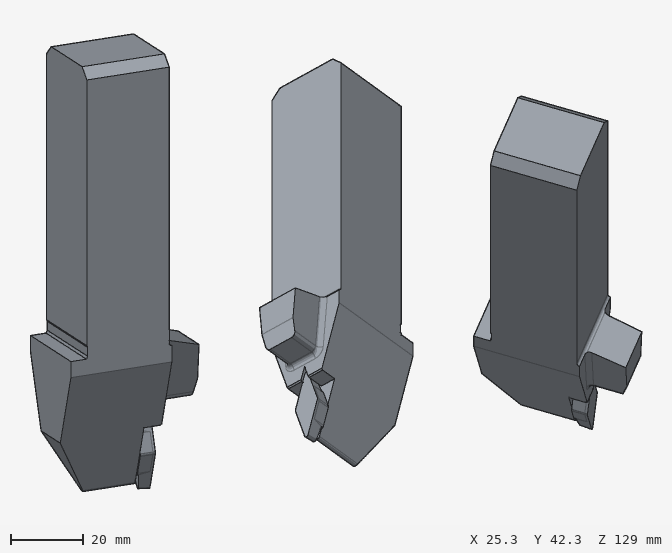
import cadquery as cq
import math

total_height = 129.0
shank_width = 25.3
shank_half = shank_width / 2
end_chamfer = 3.0

head_front_y = -17.5
head_back_y = 13.4
ledge_z = 45.0
ledge_radius = 1.1

relief_top_z = 48.9
relief_depth = 0.3
relief_run_in = 0.5
ramp_height = 0.8
ramp_run = 0.4

wedge_angle = 35.0
wedge_slope = math.tan(math.radians(wedge_angle / 2))
taper_top_z = 40.4
head_bottom_z = 2.0
head_nose_radius = 0.8
nose_front_y = -7.7
front_slope_top_z = 19.4

seat_y = 8.0
notch_top_z = 20.1
notch_chamfer = 0.4

boss_back_y = 24.8
boss_top_half = 6.8
boss_side_draft = 5.0
boss_tip_top_z = 41.9
boss_tip_bottom_z = 31.9
boss_bevel_y = 23.2
boss_bottom_z = 26.7
boss_fillet_diameter = 3.0
boss_edge_radius = boss_fillet_diameter / 2
boss_root_radius = boss_fillet_diameter / 2

boss_overrun = 6.5

insert_back_y = shank_half
insert_mid_z = 11.5
insert_nose_radius = 0.6
wide_corner_radius = 1.23
insert_draft = 2.0
pad_end_y = 8.5
end_face_angle = 9.0
insert_thickness = insert_back_y - seat_y

pad_half_height = 6.5
pad_end_bevel = 0.6
pad_bevel_angle = 28.0
pad_edge_y = 11.9

nose_overrun = insert_nose_radius * (1 / math.sin(math.radians(wedge_angle / 2)) - 1)
diamond_half_height = insert_mid_z + nose_overrun
diamond_half_width = diamond_half_height * wedge_slope


def diamond(y):
    """Sharp diamond outline in the plane at the given y, to be extruded toward -Y."""
    return (
        cq.Workplane("XZ", origin=(0, y, insert_mid_z))
        .moveTo(0, -diamond_half_height)
        .lineTo(diamond_half_width, 0)
        .lineTo(0, diamond_half_height)
        .lineTo(-diamond_half_width, 0)
        .close()
    )


def make_side_profile():
    """Holder outline seen along X, with the boss, extruded over the shank width."""
    relief_y = -shank_half + relief_depth
    arc_centre_y = shank_half + ledge_radius
    arc_centre_z = ledge_z + ledge_radius
    arc_mid = (
        arc_centre_y - ledge_radius * math.sqrt(0.5),
        arc_centre_z - ledge_radius * math.sqrt(0.5),
    )
    bevel_slope = (boss_back_y - boss_bevel_y) / (boss_tip_bottom_z - boss_bottom_z)
    clear_z = boss_bottom_z - 2 * boss_root_radius
    clear_y = boss_bevel_y - (boss_bottom_z - clear_z) * bevel_slope
    return (
        cq.Workplane("YZ", origin=(-shank_half, 0, 0))
        .moveTo(-shank_half, total_height)
        .lineTo(-shank_half, relief_top_z)
        .lineTo(relief_y, relief_top_z - relief_run_in)
        .lineTo(relief_y, ledge_z + ramp_height)
        .lineTo(relief_y - ramp_run, ledge_z)
        .lineTo(head_front_y, ledge_z)
        .lineTo(head_front_y, front_slope_top_z)
        .lineTo(nose_front_y, head_bottom_z)
        .lineTo(seat_y, head_bottom_z)
        .lineTo(seat_y, notch_top_z)
        .lineTo(head_back_y - notch_chamfer, notch_top_z)
        .lineTo(head_back_y, notch_top_z + notch_chamfer)
        .lineTo(head_back_y, clear_z)
        .lineTo(clear_y, clear_z)
        .lineTo(boss_back_y, boss_tip_bottom_z)
        .lineTo(boss_back_y, boss_tip_top_z)
        .lineTo(arc_centre_y, ledge_z)
        .threePointArc(arc_mid, (shank_half, arc_centre_z))
        .lineTo(shank_half, total_height)
        .close()
        .extrude(shank_width)
    )


def make_front_profile():
    """Holder outline seen along Y: chamfered top, tapered head and rounded nose."""
    half_angle = math.radians(wedge_angle / 2)
    nose_centre_z = head_bottom_z + head_nose_radius
    tangent_x = head_nose_radius * math.cos(half_angle)
    tangent_z = nose_centre_z - head_nose_radius * math.sin(half_angle)
    return (
        cq.Workplane("XZ", origin=(0, boss_back_y, 0))
        .moveTo(-shank_half + end_chamfer, total_height)
        .lineTo(shank_half - end_chamfer, total_height)
        .lineTo(shank_half, total_height - end_chamfer)
        .lineTo(shank_half, taper_top_z)
        .lineTo(tangent_x, tangent_z)
        .threePointArc((0, head_bottom_z), (-tangent_x, tangent_z))
        .lineTo(-shank_half, taper_top_z)
        .lineTo(-shank_half, total_height - end_chamfer)
        .close()
        .extrude(boss_back_y - head_front_y)
    )


def make_boss():
    """Boss narrowing downward, with rounded lower edges; it runs on above the ledge to be trimmed."""
    draft_slope = math.tan(math.radians(boss_side_draft))
    bottom_half = boss_top_half - (ledge_z - boss_bottom_z) * draft_slope
    overrun_half = boss_top_half + boss_overrun * draft_slope
    boss = (
        cq.Workplane("XZ", origin=(0, boss_back_y, 0))
        .moveTo(-overrun_half, ledge_z + boss_overrun)
        .lineTo(overrun_half, ledge_z + boss_overrun)
        .lineTo(bottom_half, boss_bottom_z)
        .lineTo(-bottom_half, boss_bottom_z)
        .close()
        .extrude(boss_back_y - head_back_y)
    )
    return boss.faces("<Z").edges("|Y").fillet(boss_edge_radius)


def make_blank():
    """Untrimmed block carrying the boss, with a fillet all round the boss root."""
    block = cq.Workplane("XY").box(
        shank_width, head_back_y - head_front_y, total_height, centered=(True, False, False)
    )
    blank = block.translate((0, head_front_y, 0)).union(make_boss())
    inset = boss_root_radius
    boss_root = cq.selectors.BoxSelector(
        (-shank_half + inset, head_back_y - inset, inset),
        (shank_half - inset, head_back_y + inset, total_height - inset),
    )
    return blank.edges(boss_root).fillet(boss_root_radius)


def make_holder():
    holder = make_blank().intersect(make_side_profile()).intersect(make_front_profile())
    upper_seat = diamond(head_back_y).extrude(head_back_y - seat_y)
    return holder.cut(upper_seat)


def edges_near(z, reach):
    """Selector for the insert edges whose centres lie within reach of the given height."""
    return cq.selectors.BoxSelector(
        (-shank_half, seat_y, z - reach), (shank_half, insert_back_y, z + reach)
    )


def make_insert_plate():
    """Drafted diamond with rounded corners, its front face sloping back toward both ends."""
    plate = diamond(insert_back_y).extrude(insert_thickness, taper=insert_draft)
    lower_nose_z = insert_mid_z - diamond_half_height
    upper_nose_z = insert_mid_z + diamond_half_height
    noses = edges_near(lower_nose_z, nose_overrun) + edges_near(upper_nose_z, nose_overrun)
    plate = plate.edges(edges_near(insert_mid_z, nose_overrun)).fillet(wide_corner_radius)
    plate = plate.edges(noses).fillet(insert_nose_radius)
    return plate.intersect(make_insert_section())


def make_insert_section():
    """Insert thickness seen along X: flat back, front face falling away beyond the pad."""
    end_y = pad_end_y + (diamond_half_height - pad_half_height) * math.tan(math.radians(end_face_angle))
    return (
        cq.Workplane("YZ", origin=(-shank_half, 0, insert_mid_z))
        .moveTo(insert_back_y, -diamond_half_height)
        .lineTo(end_y, -diamond_half_height)
        .lineTo(pad_end_y, -pad_half_height)
        .lineTo(pad_end_y, pad_half_height)
        .lineTo(end_y, diamond_half_height)
        .lineTo(insert_back_y, diamond_half_height)
        .close()
        .extrude(shank_width)
    )


def make_insert_pad():
    """Straight-sided middle stretch of the diamond, with bevelled ends, reaching the seat."""
    edge_inset = (insert_back_y - pad_edge_y) * math.tan(math.radians(insert_draft))
    middle_half = diamond_half_width - edge_inset / math.cos(math.radians(wedge_angle / 2))
    bevel_z = pad_half_height - pad_end_bevel
    bevel_half = middle_half - bevel_z * wedge_slope
    end_half = bevel_half - pad_end_bevel * math.tan(math.radians(pad_bevel_angle))
    pad = (
        cq.Workplane("XZ", origin=(0, pad_edge_y, insert_mid_z))
        .moveTo(-end_half, -pad_half_height)
        .lineTo(end_half, -pad_half_height)
        .lineTo(bevel_half, -bevel_z)
        .lineTo(middle_half, 0)
        .lineTo(bevel_half, bevel_z)
        .lineTo(end_half, pad_half_height)
        .lineTo(-end_half, pad_half_height)
        .lineTo(-bevel_half, bevel_z)
        .lineTo(-middle_half, 0)
        .lineTo(-bevel_half, -bevel_z)
        .close()
        .extrude(pad_edge_y - seat_y)
    )
    return pad.edges("|Y").edges(edges_near(insert_mid_z, pad_end_bevel)).fillet(wide_corner_radius)


def make_insert():
    return make_insert_plate().union(make_insert_pad())


holder = make_holder()
insert = make_insert()
result = cq.Compound.makeCompound([holder.val(), insert.val()])